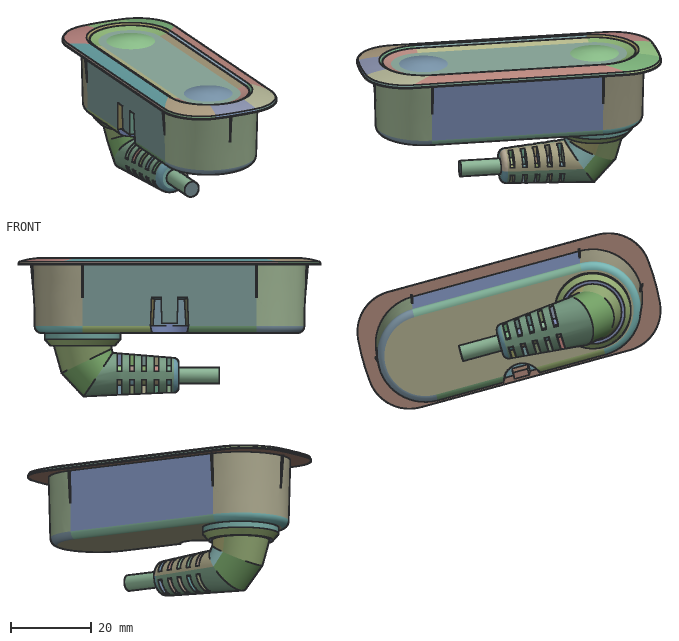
import cadquery as cq
import math

END_CENTRE_X = 21.6

FLANGE_HALF_LENGTH = 37.66
FLANGE_HALF_WIDTH = 15.12
FLANGE_CORNER_RADIUS = 10.5
FLANGE_END_ANGLE = 5.4
FLANGE_LIP_HEIGHT = 0.25
FLANGE_BEVEL_TOP = 0.8
FLANGE_BEVEL_INSET = 0.3
FLANGE_TOP = 1.74
OVERALL_HEIGHT = 34.51
RIM_RADIUS = 11.0
RIM_END_ANGLE = 25.0
DOME_BULGE = 0.15

HOUSING_DEPTH = 17.0
HOUSING_TOP_RADIUS = 12.35
HOUSING_DRAFT = 1.5
HOUSING_EDGE_FILLET = 1.8
RIB_THICKNESS = 0.3
RIB_PROJECTION = 0.52
RIB_DEPTH = 8.1
RIB_ROOT = 1.0

LATCH_WINDOW_TOP = -8.1
LATCH_WINDOW_BOTTOM = -15.2
LATCH_WINDOW_OUTER = (4.5, 4.8)
LATCH_WINDOW_INNER = (3.7, 4.1)
LATCH_WINDOW_TOP_SLOPE = 0.5
LATCH_POCKET_DEPTH = 4.15
TONGUE_HALF_WIDTHS = (2.1, 1.9)
TONGUE_TIP = -14.5
TONGUE_THICKNESS = 2.0
NOTCH_RADIUS = 4.7
NOTCH_OVERCUT = 0.1

LID_RADIUS = 10.15
LID_CLEARANCE = 0.12
LID_RIM_Z = 1.3
LID_FLOOR_RADIUS = 8.08
LID_FLOOR_Z = 0.77
LID_THICKNESS = 2.0
DOME_RADIUS = 6.05

COLLAR_RADIUS = 9.47
COLLAR_TIP_RADIUS = 8.0
COLLAR_STRAIGHT = 1.5
COLLAR_HEIGHT = 3.15

BOOT_NECK_RADIUS = 7.15
BOOT_HALF_WIDTH = 6.3
MITRE_1 = ((-26.85, -26.9), (-14.35, -20.85))
MITRE_2 = ((-21.35, FLANGE_TOP - OVERALL_HEIGHT), (-14.1, -21.85))
BOOT_END_X = 2.33
BOOT_END_RADIUS = 4.3
BOOT_END_FILLET = 1.4
GROOVE_COUNT = 5
GROOVE_FIRST_X = -12.45
GROOVE_PITCH = 3.08
GROOVE_WIDTH = 1.1
GROOVE_CORE_RADIUS = 2.6
GROOVE_WEB = 2.04

CABLE_AXIS_Z = -27.5
CABLE_RADIUS = 2.0
CABLE_END_X = 12.37

BOTTOM_Z = -HOUSING_DEPTH
COLLAR_BOTTOM_Z = BOTTOM_Z - COLLAR_HEIGHT


def stadium(radius, z):
    """Workplane at height z holding a stadium outline around the two end centres."""
    return cq.Workplane("XY").workplane(offset=z).slot2D(2 * (END_CENTRE_X + radius), 2 * radius)


def tapered_stadium(top_radius, bottom_radius, top_z, bottom_z):
    """Solid between a stadium at top_z and another one at bottom_z."""
    height = top_z - bottom_z
    taper = math.degrees(math.atan2(top_radius - bottom_radius, height))
    return stadium(top_radius, top_z).extrude(-height, taper=taper)


def bowed_outline(half_length, half_width, corner_radius, end_angle, z):
    """Closed wire with straight sides, rounded corners and bowed ends, all tangent."""
    corner_y = half_width - corner_radius
    angle = math.radians(end_angle)
    end_radius = corner_radius + corner_y / math.sin(angle)
    corner_x = half_length - end_radius + (end_radius - corner_radius) * math.cos(angle)
    mid_angle = (angle + math.pi / 2) / 2

    def on_corner(direction):
        return (corner_x + corner_radius * math.cos(direction),
                corner_y + corner_radius * math.sin(direction))

    side_x, side_y = on_corner(math.pi / 2)
    mid_x, mid_y = on_corner(mid_angle)
    end_x, end_y = on_corner(angle)
    return (
        cq.Workplane("XY").workplane(offset=z)
        .moveTo(-side_x, side_y)
        .lineTo(side_x, side_y)
        .threePointArc((mid_x, mid_y), (end_x, end_y))
        .threePointArc((half_length, 0), (end_x, -end_y))
        .threePointArc((mid_x, -mid_y), (side_x, -side_y))
        .lineTo(-side_x, -side_y)
        .threePointArc((-mid_x, -mid_y), (-end_x, -end_y))
        .threePointArc((-half_length, 0), (-end_x, end_y))
        .threePointArc((-mid_x, mid_y), (-side_x, side_y))
        .close()
        .val()
    )


def flange():
    """Mounting flange: upright lip, bevel and a domed surface rising to the rim."""
    edge = (FLANGE_HALF_LENGTH, FLANGE_HALF_WIDTH, FLANGE_CORNER_RADIUS, FLANGE_END_ANGLE)
    crest = (END_CENTRE_X + RIM_RADIUS, RIM_RADIUS, RIM_RADIUS, RIM_END_ANGLE)
    shoulder = tuple(size - FLANGE_BEVEL_INSET for size in edge[:3]) + (FLANGE_END_ANGLE,)
    halfway = tuple((outer + inner) / 2 for outer, inner in zip(shoulder, crest))
    halfway_z = (FLANGE_BEVEL_TOP + FLANGE_TOP) / 2 + DOME_BULGE

    lip_top = bowed_outline(*edge, FLANGE_LIP_HEIGHT)
    shoulder_wire = bowed_outline(*shoulder, FLANGE_BEVEL_TOP)
    lip = cq.Solid.makeLoft([bowed_outline(*edge, 0), lip_top], True)
    bevel = cq.Solid.makeLoft([lip_top, shoulder_wire], True)
    dome = cq.Solid.makeLoft([
        shoulder_wire,
        bowed_outline(*halfway, halfway_z),
        bowed_outline(*crest, FLANGE_TOP),
    ])
    return cq.Workplane(lip).union(cq.Workplane(bevel)).union(cq.Workplane(dome))


def rib(x, y, direction):
    """Upright wedge on the wall at (x, y), fading out downwards; direction is in degrees."""
    root = -RIB_ROOT
    foot = -RIB_DEPTH * math.tan(math.radians(HOUSING_DRAFT))
    wedge = (
        cq.Workplane("XZ")
        .polyline([(root, 0), (RIB_PROJECTION, 0), (foot, -RIB_DEPTH), (root, -RIB_DEPTH)])
        .close()
        .extrude(RIB_THICKNESS / 2, both=True)
    )
    return wedge.rotate((0, 0, 0), (0, 0, 1), direction).translate((x, y, 0))


def latch_window():
    """Cutter for the pocket around the latch tongue, narrowing inwards, less the tongue."""
    outer_y = -HOUSING_TOP_RADIUS
    inner_y = outer_y + LATCH_POCKET_DEPTH

    def section(half_widths, top_z, y):
        top, bottom = half_widths
        bottom_z = LATCH_WINDOW_BOTTOM
        return (
            cq.Workplane("XZ", origin=(0, y, 0))
            .polyline([(-top, top_z), (top, top_z), (bottom, bottom_z), (-bottom, bottom_z)])
            .close()
            .val()
        )

    window = cq.Workplane(cq.Solid.makeLoft([
        section(LATCH_WINDOW_OUTER, LATCH_WINDOW_TOP, outer_y),
        section(LATCH_WINDOW_INNER, LATCH_WINDOW_TOP - LATCH_WINDOW_TOP_SLOPE, inner_y),
    ], True))
    root, tip = TONGUE_HALF_WIDTHS
    tongue = (
        cq.Workplane("XZ", origin=(0, outer_y, 0))
        .polyline([
            (-root, LATCH_WINDOW_TOP),
            (root, LATCH_WINDOW_TOP),
            (tip, TONGUE_TIP),
            (-tip, TONGUE_TIP),
        ])
        .close()
        .extrude(-TONGUE_THICKNESS)
    )
    return window.cut(tongue)


def make_housing():
    drop = math.tan(math.radians(HOUSING_DRAFT))
    bottom_radius = HOUSING_TOP_RADIUS - HOUSING_DEPTH * drop
    body = tapered_stadium(HOUSING_TOP_RADIUS, bottom_radius, 0, BOTTOM_Z)
    body = body.faces("<Z").edges().fillet(HOUSING_EDGE_FILLET)
    body = body.union(flange())

    for side in (-1, 1):
        for x in (-END_CENTRE_X, END_CENTRE_X):
            body = body.union(rib(x, side * HOUSING_TOP_RADIUS, side * 90))
        body = body.union(rib(side * (END_CENTRE_X + HOUSING_TOP_RADIUS), 0, 90 - side * 90))

    seat_bottom = LID_FLOOR_Z - LID_THICKNESS
    seat_radius = LID_RADIUS + LID_CLEARANCE
    seat = stadium(seat_radius, seat_bottom).extrude(FLANGE_TOP - seat_bottom)
    rim_chamfer = tapered_stadium(RIM_RADIUS, seat_radius, FLANGE_TOP, LID_RIM_Z)
    notch_y = -HOUSING_TOP_RADIUS + LATCH_POCKET_DEPTH + NOTCH_OVERCUT - NOTCH_RADIUS
    notch = (
        cq.Workplane("XY", origin=(0, notch_y, BOTTOM_Z))
        .circle(NOTCH_RADIUS)
        .extrude(TONGUE_TIP - BOTTOM_Z)
    )
    return body.cut(seat).cut(rim_chamfer).cut(notch).cut(latch_window())


def make_lid():
    """Plate with a shallow dish and a spherical bump at each end of it."""
    bottom_z = LID_FLOOR_Z - LID_THICKNESS
    plate = stadium(LID_RADIUS, bottom_z).extrude(LID_RIM_Z - bottom_z)
    plate = plate.cut(tapered_stadium(LID_RADIUS, LID_FLOOR_RADIUS, LID_RIM_Z, LID_FLOOR_Z))
    rise = FLANGE_TOP - LID_FLOOR_Z
    sphere_radius = (DOME_RADIUS ** 2 + rise ** 2) / (2 * rise)
    for x in (-END_CENTRE_X, END_CENTRE_X):
        ball = cq.Workplane("XY", origin=(x, 0, FLANGE_TOP - sphere_radius)).sphere(sphere_radius)
        bump = cq.Workplane("XY", origin=(x, 0, bottom_z)).circle(DOME_RADIUS).extrude(2 * LID_THICKNESS)
        plate = plate.union(bump.intersect(ball))
    return plate


def make_collar():
    """Round collar under the housing floor with a bevelled lower edge."""
    return (
        cq.Workplane("XZ", origin=(-END_CENTRE_X, 0, BOTTOM_Z))
        .polyline([
            (0, 0),
            (COLLAR_RADIUS, 0),
            (COLLAR_RADIUS, -COLLAR_STRAIGHT),
            (COLLAR_TIP_RADIUS, -COLLAR_HEIGHT),
            (0, -COLLAR_HEIGHT),
        ])
        .close()
        .revolve(360, (0, 0, 0), (0, 1, 0))
    )


def boot_section(outer, inner, half_width):
    """Ellipse square to the XZ plane, spanning outer to inner and half_width to each side."""
    (x1, z1), (x2, z2) = outer, inner
    across = cq.Vector(x2 - x1, 0, z2 - z1)
    ellipse = cq.Workplane(cq.Plane(
        origin=((x1 + x2) / 2, 0, (z1 + z2) / 2),
        xDir=across,
        normal=across.cross(cq.Vector(0, 1, 0)),
    ))
    return ellipse.ellipse(across.Length / 2, half_width).val()


def boot_groove(x):
    """Cutter for one ring groove, split into quarters by the crossed webs."""
    reach = 2 * BOOT_HALF_WIDTH + GROOVE_WEB
    slice_at_x = cq.Workplane("XY").box(GROOVE_WIDTH, reach, reach)
    core = cq.Workplane("YZ").circle(GROOVE_CORE_RADIUS).extrude(GROOVE_WIDTH, both=True)
    upright_web = cq.Workplane("XY").box(GROOVE_WIDTH, GROOVE_WEB, reach)
    level_web = cq.Workplane("XY").box(GROOVE_WIDTH, reach, GROOVE_WEB)
    return slice_at_x.cut(core).cut(upright_web).cut(level_web).translate((x, 0, CABLE_AXIS_Z))


def make_boot():
    """Right-angled strain relief from the collar to the cable."""
    neck = boot_section(
        (-END_CENTRE_X - BOOT_NECK_RADIUS, COLLAR_BOTTOM_Z),
        (-END_CENTRE_X + BOOT_NECK_RADIUS, COLLAR_BOTTOM_Z),
        BOOT_NECK_RADIUS,
    )
    end = boot_section(
        (BOOT_END_X, CABLE_AXIS_Z - BOOT_END_RADIUS),
        (BOOT_END_X, CABLE_AXIS_Z + BOOT_END_RADIUS),
        BOOT_END_RADIUS,
    )
    elbow = [boot_section(*mitre, BOOT_HALF_WIDTH) for mitre in (MITRE_1, MITRE_2)]
    boot = cq.Workplane(cq.Solid.makeLoft([neck, *elbow, end], True))
    boot = boot.faces(">X").edges().fillet(BOOT_END_FILLET)
    for index in range(GROOVE_COUNT):
        boot = boot.cut(boot_groove(GROOVE_FIRST_X + index * GROOVE_PITCH))
    return boot


def make_cable():
    return (
        cq.Workplane("YZ", origin=(BOOT_END_X, 0, CABLE_AXIS_Z))
        .circle(CABLE_RADIUS)
        .extrude(CABLE_END_X - BOOT_END_X)
    )


housing = make_housing()
lid = make_lid()
collar = make_collar()
boot = make_boot()
cable = make_cable()

result = cq.Compound.makeCompound([
    housing.solids().val(),
    lid.solids().val(),
    collar.solids().val(),
    boot.solids().val(),
    cable.solids().val(),
])